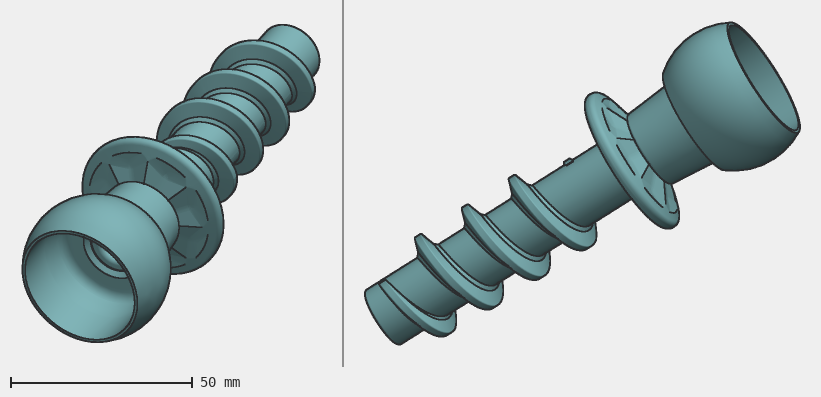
import cadquery as cq
import math

total_length = 127.0

ball_radius = 20.5
ball_center_y = 10.0
ball_back_y = 22.7
cup_radius = 33.9 / 2
cup_cylinder_depth = 12.0
cup_floor_y = 20.0
cup_floor_fillet = 3.3
neck_base_radius = 12.7
neck_end_radius = 11.3
neck_end_y = 38.1
neck_end_fillet = 0.9
neck_hole_radius = 15.5 / 2
neck_mouth_radius = 18.3 / 2

spigot_radius = 15.0 / 2
bore_radius = 9.7 / 2
bore_mouth_radius = 12.7 / 2
shank_radius = 17.8 / 2
shank_tip_fillet = 0.8
flange_radius = 43.2 / 2
flange_rim_y = 43.8
flange_rim_round = 1.7
flange_rim_land = 0.4
flange_front_angle = math.radians(21)
flange_back_angle = math.radians(6)
flange_shank_fillet = 1.5

pocket_count = 8
pocket_floor_y = 41.3
pocket_valley_radius = 14.7
pocket_fillet = 6.1
pocket_reach = 2.0

thread_radius = 28.0 / 2
thread_pitch = 15.6
thread_start_y = 58.4
thread_turns = 4
thread_fade_turns = 0.5
thread_crest_width = 2.2
thread_flank_angle = math.radians(19)
thread_crest_fillet = 0.4
thread_foot_height = 1.0
thread_end_height = 0.1
thread_root_depth = 0.8
thread_points_per_turn = 24

touch_tolerance = 0.01

spigot_end_y = cup_floor_y + neck_mouth_radius - neck_hole_radius


def revolve_about_y(outline):
    """Solid of revolution from an outline of (radius, y) points that starts and ends on the axis."""
    return outline.close().revolve(360, (0, 0, 0), (0, 1, 0))


def make_ball():
    mouth_radius = math.sqrt(ball_radius**2 - ball_center_y**2)
    back_radius = math.sqrt(ball_radius**2 - (ball_back_y - ball_center_y) ** 2)
    outer = revolve_about_y(
        cq.Workplane("XY")
        .lineTo(mouth_radius, 0)
        .threePointArc((ball_radius, ball_center_y), (back_radius, ball_back_y))
        .lineTo(neck_base_radius, ball_back_y)
        .lineTo(neck_end_radius, neck_end_y)
        .lineTo(0, neck_end_y)
    )
    outer = outer.faces(">Y").edges().fillet(neck_end_fillet)

    fillet_center_y = cup_floor_y - cup_floor_fillet
    center_distance = cup_radius - cup_floor_fillet
    fillet_rise = fillet_center_y - cup_cylinder_depth
    floor_radius = math.sqrt(center_distance**2 - fillet_rise**2)
    tangent_angle = math.asin(fillet_rise / center_distance)

    def on_cup_sphere(angle):
        return (cup_radius * math.cos(angle), cup_cylinder_depth + cup_radius * math.sin(angle))

    fillet_middle_angle = (tangent_angle + math.pi / 2) / 2
    fillet_middle = (
        floor_radius + cup_floor_fillet * math.cos(fillet_middle_angle),
        fillet_center_y + cup_floor_fillet * math.sin(fillet_middle_angle),
    )
    cavity = revolve_about_y(
        cq.Workplane("XY")
        .lineTo(cup_radius, 0)
        .lineTo(cup_radius, cup_cylinder_depth)
        .threePointArc(on_cup_sphere(tangent_angle / 2), on_cup_sphere(tangent_angle))
        .threePointArc(fillet_middle, (floor_radius, cup_floor_y))
        .lineTo(neck_mouth_radius, cup_floor_y)
        .lineTo(neck_hole_radius, spigot_end_y)
        .lineTo(neck_hole_radius, neck_end_y)
        .lineTo(0, neck_end_y)
    )
    return outer.cut(cavity)


def ring_edge(radius, y):
    """Selector for a circular edge about the Y axis."""
    reach = radius + touch_tolerance
    low = (-reach, y - touch_tolerance, -reach)
    high = (reach, y + touch_tolerance, reach)
    return cq.selectors.BoxSelector(low, high, boundingbox=True)


def flange_front_radius(y):
    """Radius of the front cone of the flange, which is tangent to the rounded rim."""
    tangent_radius = flange_radius - flange_rim_round + flange_rim_round * math.sin(flange_front_angle)
    tangent_y = flange_rim_y - flange_rim_land / 2 - flange_rim_round * math.cos(flange_front_angle)
    return tangent_radius - (tangent_y - y) / math.tan(flange_front_angle)


def make_core():
    """Spigot, flange and shank, before the pockets and the thread."""

    def on_rim(angle, center_y):
        return (
            flange_radius - flange_rim_round + flange_rim_round * math.cos(angle),
            center_y + flange_rim_round * math.sin(angle),
        )

    front_center_y = flange_rim_y - flange_rim_land / 2
    back_center_y = flange_rim_y + flange_rim_land / 2
    front_angle = flange_front_angle - math.pi / 2
    back_angle = math.pi / 2 - flange_back_angle
    front_tangent = on_rim(front_angle, front_center_y)
    back_tangent = on_rim(back_angle, back_center_y)
    front_end_radius = flange_front_radius(neck_end_y)
    back_end_y = back_tangent[1] + (back_tangent[0] - shank_radius) * math.tan(flange_back_angle)
    core = revolve_about_y(
        cq.Workplane("XY")
        .moveTo(0, spigot_end_y)
        .lineTo(spigot_radius, spigot_end_y)
        .lineTo(spigot_radius, neck_end_y)
        .lineTo(front_end_radius, neck_end_y)
        .lineTo(*front_tangent)
        .threePointArc(on_rim(front_angle / 2, front_center_y), (flange_radius, front_center_y))
        .lineTo(flange_radius, back_center_y)
        .threePointArc(on_rim(back_angle / 2, back_center_y), back_tangent)
        .lineTo(shank_radius, back_end_y)
        .lineTo(shank_radius, total_length)
        .lineTo(0, total_length)
    )
    core = core.faces(">Y").edges().fillet(shank_tip_fillet)
    return core.edges(ring_edge(shank_radius, back_end_y)).fillet(flange_shank_fillet)


def make_pocket_cutters():
    """Wedges that all point at the apex of the front cone, so that the ridges between them lie on it."""
    ridge_radius = flange_front_radius(pocket_floor_y)
    apex_y = pocket_floor_y - ridge_radius * math.tan(flange_front_angle)
    half_sector = math.pi / pocket_count
    flank_depth = ridge_radius * math.cos(half_sector) - pocket_valley_radius
    outer_x = pocket_valley_radius + pocket_reach * flank_depth
    outer_z = pocket_reach * ridge_radius * math.sin(half_sector)
    corners = [(pocket_valley_radius, 0), (outer_x, outer_z), (outer_x, -outer_z)]

    def section(y):
        scale = (y - apex_y) / (pocket_floor_y - apex_y)
        return cq.Wire.makePolygon([cq.Vector(scale * x, y, scale * z) for x, z in corners], close=True)

    wedge = cq.Workplane(cq.Solid.makeLoft([section(neck_end_y), section(pocket_floor_y)], True))
    valley_corner = cq.Vertex.makeVertex(pocket_valley_radius, pocket_floor_y, 0)
    corner_edges = wedge.edges().filter(lambda edge: edge.distance(valley_corner) < touch_tolerance)
    cutter = corner_edges.fillet(pocket_fillet).val()
    sector = 360 / pocket_count
    return [cutter.rotate((0, 0, 0), (0, 1, 0), sector * (i + 0.5)) for i in range(pocket_count)]


def make_thread():
    """Helical rib that rises out of the shank over its first half turn and sinks back over its last."""
    rib_height = thread_radius - shank_radius
    root_radius = shank_radius - thread_root_depth
    flank_width = (rib_height - thread_foot_height) * math.tan(thread_flank_angle)
    crest_half_width = thread_crest_width / 2
    flank_half_width = crest_half_width + flank_width
    root_half_width = flank_half_width + thread_foot_height + thread_root_depth
    half_section = [
        (crest_half_width, thread_root_depth + rib_height),
        (flank_half_width, thread_root_depth + thread_foot_height),
        (root_half_width, 0),
    ]
    section = [(-width, height) for width, height in reversed(half_section)] + half_section
    end_scale = (thread_root_depth + thread_end_height) / (thread_root_depth + rib_height)

    def section_point(turn, width, height):
        ramp = min(turn / thread_fade_turns, (thread_turns - turn) / thread_fade_turns, 1)
        scale = end_scale + (1 - end_scale) * ramp
        offset = math.copysign(crest_half_width + (abs(width) - crest_half_width) * scale, width)
        radius = root_radius + height * scale
        angle = math.pi - 2 * math.pi * turn
        y = thread_start_y + thread_pitch * turn + offset
        return cq.Vector(radius * math.cos(angle), y, radius * math.sin(angle))

    fade_end = thread_turns - thread_fade_turns
    stretches = [(0, thread_fade_turns), (thread_fade_turns, fade_end), (fade_end, thread_turns)]
    faces = []
    for start, end in stretches:
        steps = round((end - start) * thread_points_per_turn)
        turns = [start + (end - start) * i / steps for i in range(steps + 1)]
        edges = [cq.Edge.makeSpline([section_point(t, *corner) for t in turns]) for corner in section]
        for i in range(len(edges)):
            faces.append(cq.Face.makeRuledSurface(edges[i - 1], edges[i]))
    for turn in (0, thread_turns):
        outline = cq.Wire.makePolygon([section_point(turn, *corner) for corner in section], close=True)
        faces.append(cq.Face.makeFromWires(outline))
    rib = cq.Workplane(cq.Solid.makeSolid(cq.Shell.makeShell(faces)))

    def is_crest_edge(edge):
        end_radii = [math.hypot(p.x, p.z) for p in (edge.startPoint(), edge.endPoint())]
        return edge.Length() > thread_pitch and max(end_radii) > thread_radius - thread_crest_fillet

    return rib.edges().filter(is_crest_edge).fillet(thread_crest_fillet)


def make_screw():
    screw = make_core()
    screw = screw.cut(cq.Workplane(cq.Compound.makeCompound(make_pocket_cutters())))
    bore = cq.Workplane("XZ").circle(bore_radius).extrude(-total_length)
    screw = screw.cut(bore)
    screw = screw.union(make_thread())
    return screw.edges(ring_edge(bore_radius, spigot_end_y)).fillet(bore_mouth_radius - bore_radius)


ball = make_ball()
screw = make_screw()

result = cq.Compound.makeCompound([ball.solids().val(), screw.solids().val()])